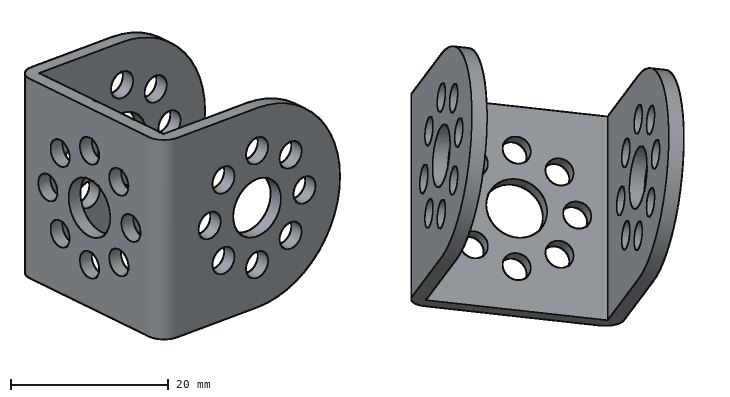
import cadquery as cq

depth = 30.0
width = 28.0
height = width
wall = 2.0
bend_radius = 2.5

center_hole_diameter = 8.0
small_hole_diameter = 3.7
hole_circle_diameter = 16.0
small_hole_count = 8

arm_end_radius = height / 2
arm_center_y = depth - arm_end_radius


def channel():
    """U-shaped channel, rounded on its two outer bend edges."""
    outer = (
        cq.Workplane("XY")
        .box(width, depth, height, centered=(True, False, True))
        .edges("|Z and <Y")
        .fillet(bend_radius)
    )
    inner = (
        cq.Workplane("XY")
        .box(width - 2 * wall, depth, height, centered=(True, False, True))
        .translate((0, wall, 0))
    )
    return outer.cut(inner)


def arm_outline():
    """Side profile with a full-round free end, extruded across the width."""
    return (
        cq.Workplane("YZ")
        .moveTo(0, -height / 2)
        .lineTo(arm_center_y, -height / 2)
        .threePointArc((depth, 0), (arm_center_y, height / 2))
        .lineTo(0, height / 2)
        .close()
        .extrude(width / 2, both=True)
    )


def hole_pattern(plane, length):
    """Central hole and its ring of small holes, as solid cutters."""
    center_hole = plane.circle(center_hole_diameter / 2).extrude(length)
    small_holes = (
        plane.polarArray(hole_circle_diameter / 2, 0, 360, small_hole_count)
        .circle(small_hole_diameter / 2)
        .extrude(length)
    )
    return center_hole.union(small_holes)


web_holes = hole_pattern(cq.Workplane("XZ"), -wall)
arm_holes = hole_pattern(
    cq.Workplane("YZ", origin=(-width / 2, arm_center_y, 0)), width
)

result = channel().intersect(arm_outline()).cut(web_holes).cut(arm_holes)